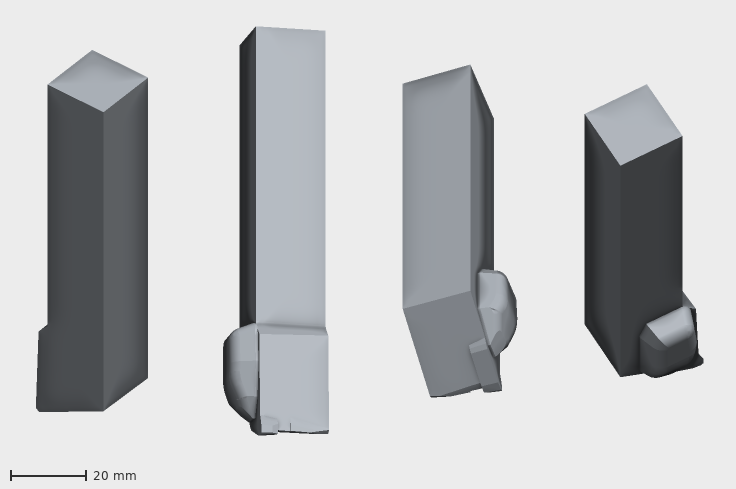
import cadquery as cq
import math

SHANK = 19.05
TOP_Z = 114.3

NECK_Z = 32.3
NECK_FILLET = 1.4
FLANK_ANGLE = 2.0
FLANK_BASE_X = -5.1
FLANK_INSET = 1.05
END_ANGLE = 26.8
END_CORNER_Z = 12.7
END_INSET = 0.45
NOSE_Z = 1.75

LIP_START_Y = -8.4
LIP_TOP_Z = 5.65
LIP_CREST_Z = 3.5
LIP_FRONT_TOP_Z = 3.25
LIP_FRONT_CREST_Z = 1.9
LIP_OUT = 0.35
LIP_FRONT_OUT = 0.1
LIP_ROOT = 0.6

CHAMFER_UPPER = cq.Vector(-4.05, -SHANK, 3.0)
CHAMFER_LOWER = cq.Vector(-2.75, -SHANK, 2.1)
CHAMFER_BACK = cq.Vector(-4.85, -13.0, NOSE_Z)
CHAMFER_CUT = 8.0

DOME_HEIGHT = 6.9
DOME_SKIRT = 0.7
DOME_DRAFT = 20.0
DOME_TOP_Z = 32.4
DOME_BOTTOM_Z = 6.2
DOME_SLOPE_Z = 16.4
DOME_BREAK = (4.1, 9.7)
DOME_LEFT_X = -3.12
DOME_RIGHT_X = 13.25
DOME_CORNER_FILLET = 3.0
DOME_BLEND = 12.0
DOME_EDGE_FILLET = 3.5
EDGE_TOLERANCE = 0.1
DOME_OUTLINE = [
    (-1.85, DOME_TOP_Z),
    (11.1, DOME_TOP_Z),
    (DOME_RIGHT_X, 28.0),
    (DOME_RIGHT_X, 12.0),
    (5.0, DOME_BOTTOM_Z),
    (0.8, DOME_BOTTOM_Z),
    (-2.0, 11.5),
    (DOME_LEFT_X, 21.05),
]

INSERT_THICKNESS = 4.76
INSERT_RELIEF = 7.0
INSERT_EDGE_HEIGHT = 3.1
INSERT_EDGE_RELIEF = 0.35
INSERT_EDGE_TOP_Z = 4.0
INSERT_OUTLINE = [
    (0.5, 11.0),
    (7.4, 6.6),
    (6.5, 5.2),
    (5.4, 4.1),
    (-3.3, 0.3),
    (-5.6, 0.0),
    (-6.35, 0.4),
    (-6.35, 2.6),
    (-5.7, 4.2),
    (-4.8, 5.9),
]


def flank_x(y, z):
    """X of the head flank at a given place."""
    return FLANK_BASE_X + z * math.tan(math.radians(FLANK_ANGLE)) - FLANK_INSET * y / SHANK


def holder_section(y):
    """Outline of shank and head in the plane Y = y."""
    flank_slope = math.tan(math.radians(FLANK_ANGLE))
    end_slope = math.tan(math.radians(END_ANGLE))
    foot_x = flank_x(y, 0)
    end_z = END_CORNER_Z - END_INSET * y / SHANK
    shoulder_z = (NECK_Z + foot_x) / (1 - flank_slope)
    nose_x = SHANK - (end_z - NOSE_Z) / end_slope
    points = [
        (0, TOP_Z),
        (0, NECK_Z),
        (shoulder_z - NECK_Z, shoulder_z),
        (flank_x(y, NOSE_Z), NOSE_Z),
        (nose_x, NOSE_Z),
        (SHANK, end_z),
        (SHANK, TOP_Z),
    ]
    return cq.Wire.makePolygon([cq.Vector(x, y, z) for x, z in points], close=True)


def make_blank():
    blank = cq.Workplane(cq.Solid.makeLoft([holder_section(0), holder_section(-SHANK)], True))
    neck_edge = cq.selectors.NearestToPointSelector((0, -SHANK / 2, NECK_Z))
    return blank.edges(neck_edge).fillet(NECK_FILLET)


def lip_section(y, top_z, crest_z, out):
    """Outline that widens downwards from the flank to its crest, then drops to the nose flat."""
    points = [
        (flank_x(y, top_z), top_z),
        (flank_x(y, crest_z) - out, crest_z),
        (flank_x(y, NOSE_Z) - out, NOSE_Z),
        (flank_x(y, NOSE_Z) + LIP_ROOT, NOSE_Z),
    ]
    return cq.Wire.makePolygon([cq.Vector(x, y, z) for x, z in points], close=True)


def make_lip():
    start = lip_section(LIP_START_Y, LIP_TOP_Z, LIP_CREST_Z, LIP_OUT)
    front = lip_section(-SHANK, LIP_FRONT_TOP_Z, LIP_FRONT_CREST_Z, LIP_FRONT_OUT)
    return cq.Workplane(cq.Solid.makeLoft([start, front], True))


def make_nose_chamfer():
    """Block lying outside the chamfer plane."""
    along = CHAMFER_LOWER - CHAMFER_UPPER
    outward = along.cross(CHAMFER_BACK - CHAMFER_UPPER)
    if outward.z > 0:
        outward = outward * -1
    plane = cq.Plane(origin=CHAMFER_UPPER.toTuple(), xDir=along.toTuple(), normal=outward.toTuple())
    return cq.Workplane(plane).rect(2 * CHAMFER_CUT, 2 * CHAMFER_CUT).extrude(CHAMFER_CUT)


def dome_outline(y):
    return cq.Workplane("XZ", origin=(0, y, 0)).polyline(DOME_OUTLINE).close()


def round_dome_corner(body):
    """Round the upper left corner, the one that stands out past the neck."""
    corner_x, corner_z = DOME_OUTLINE[0]
    corner = cq.selectors.NearestToPointSelector((corner_x, DOME_HEIGHT / 2, corner_z))
    return body.edges(corner).fillet(DOME_CORNER_FILLET)


def make_dome():
    """Drafted dome on a straight skirt, sloping away in two steps at its lower end."""
    skirt = round_dome_corner(dome_outline(0).extrude(-DOME_SKIRT))
    body = dome_outline(DOME_SKIRT).extrude(-(DOME_HEIGHT - DOME_SKIRT), taper=DOME_DRAFT)

    break_y, break_z = DOME_BREAK
    slope_cut = (
        cq.Workplane("YZ", origin=(DOME_LEFT_X, 0, 0))
        .moveTo(DOME_SKIRT, DOME_BOTTOM_Z)
        .lineTo(break_y, break_z)
        .lineTo(DOME_HEIGHT, DOME_SLOPE_Z)
        .lineTo(DOME_HEIGHT, DOME_BOTTOM_Z)
        .close()
        .extrude(DOME_RIGHT_X - DOME_LEFT_X)
    )
    body = round_dome_corner(body.cut(slope_cut))

    middle_x = (DOME_LEFT_X + DOME_RIGHT_X) / 2
    crown_end = cq.selectors.NearestToPointSelector((middle_x, DOME_HEIGHT, DOME_SLOPE_Z))
    body = body.edges(crown_end).fillet(DOME_BLEND)

    slope_middle = (middle_x, (break_y + DOME_HEIGHT) / 2, (break_z + DOME_SLOPE_Z) / 2)
    slope = body.faces(cq.selectors.NearestToPointSelector(slope_middle))
    slope_end_z = slope.vertices(">Z").val().Center().z
    slope_sides = [
        edge
        for edge in slope.edges().vals()
        if break_z + EDGE_TOLERANCE < edge.Center().z < slope_end_z - EDGE_TOLERANCE
    ]
    rim = body.faces(">Y").edges().vals() + slope_sides
    body = body.newObject(rim).fillet(DOME_EDGE_FILLET)
    return skirt.union(body)


def make_insert():
    """Tapered plate with a steeper relief under its left cutting edge."""
    outline = cq.Workplane("XZ").polyline(INSERT_OUTLINE).close()
    plate = outline.extrude(INSERT_THICKNESS, taper=INSERT_RELIEF)
    left_x = min(x for x, z in INSERT_OUTLINE)
    relief_foot_x = left_x + INSERT_THICKNESS * math.tan(math.radians(INSERT_RELIEF))
    relief = (
        cq.Workplane("XY")
        .moveTo(left_x, -INSERT_EDGE_HEIGHT)
        .lineTo(left_x + INSERT_EDGE_HEIGHT * math.tan(math.radians(INSERT_RELIEF)), -INSERT_EDGE_HEIGHT)
        .lineTo(relief_foot_x + INSERT_EDGE_RELIEF, -INSERT_THICKNESS)
        .lineTo(left_x, -INSERT_THICKNESS)
        .close()
        .extrude(INSERT_EDGE_TOP_Z)
    )
    return plate.cut(relief)


insert = make_insert()
holder = make_blank().union(make_lip()).cut(make_nose_chamfer()).cut(insert).union(make_dome())

result = cq.Compound.makeCompound([holder.solids().val(), insert.solids().val()])